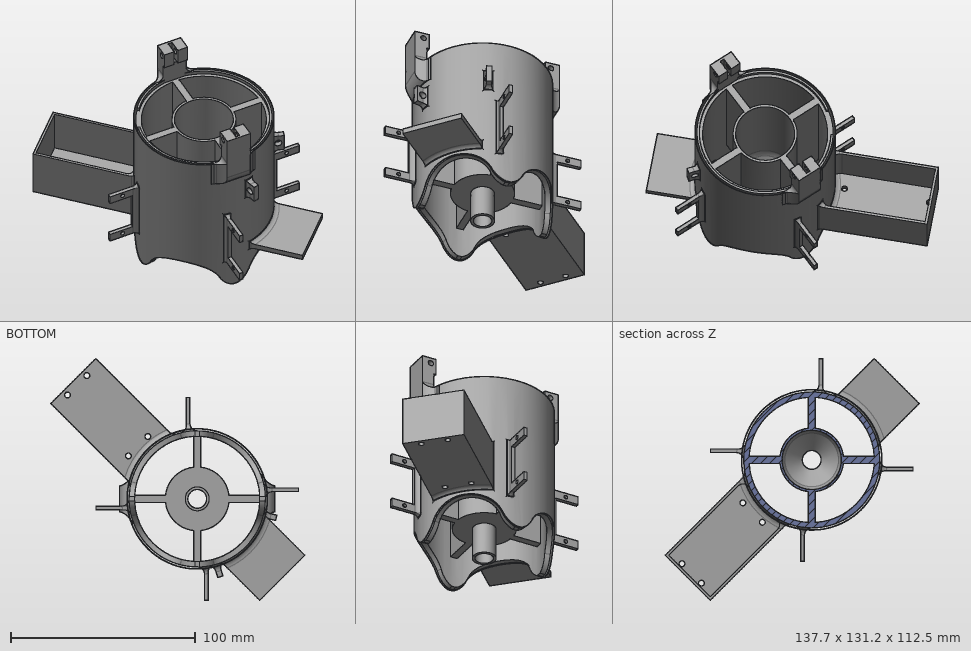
import cadquery as cq
import math

OVERALL_LENGTH = 137.7

BODY_HEIGHT = 92.3
SHEATH_RADIUS = 38.2
GAP_OUTER_RADIUS = 37.9
BODY_RADIUS = 73.8 / 2
BORE_RADIUS = 67.8 / 2
RIM_STEP_RADIUS = 35.7
RIM_STEP_DEPTH = 2.0
RIM_NOTCH_ANGLE = 244.5
RIM_NOTCH_SPAN = 24.0
ROOT_FILLET = 4.0

HUB_RADIUS = 17.4
HUB_BORE_RADIUS = 32.0 / 2
FUNNEL_HOLE_RADIUS = 10.0 / 2
FUNNEL_FILLET = 5.0
HUB_FLOOR = 2.0
SPOUT_DIAMETER = 13.0
SPOKE_WIDTH = 4.0

ARCH_HEIGHT = 18.5
LEG_SHOULDER_HEIGHT = 8.3
LEG_SHOULDER_ANGLE = 14.5
TIP_BEND_HEIGHT = 1.9
TIP_ANGLE = 2.0

BRACKET_REACH = 55.0
BRACKET_BOTTOM = 19.1
BRACKET_HEIGHT = 33.0
BRACKET_ARM_HEIGHT = 5.0
BRACKET_WEB_RADIUS = 41.2
BRACKET_THICKNESS = 2.0
BRACKET_OFFSET = 5.0
BRACKET_HOLE = 2.2
BRACKET_HOLE_RADIUS = 47.2

DIAGONAL = 45.0
ARM_WIDTH = 34.6
ARM_OFFSET = 2.3
ARM_BOTTOM = 21.8
ARM_FLOOR = 3.2
TRAY_HEIGHT = 28.2
TRAY_WALL = 1.4
TRAY_REACH = 92.7
PLATE_REACH = OVERALL_LENGTH * math.sqrt(2) - TRAY_REACH - 2 * (ARM_WIDTH / 2 + ARM_OFFSET)
TRAY_HOLE = 3.0
TRAY_HOLE_REACHES = (42.8, 89.5)
TRAY_HOLE_SIDES = (-9.9, 5.0)

TAB_ANGLES = (13.5, 73.5)
TAB_REACH = 44.1
TAB_THICKNESS = 3.0
TAB_BOTTOM = 61.8
TAB_HEIGHT = 10.3
TAB_HOLE = 4.0
TAB_HOLE_RADIUS = 40.6

LUG_OUTER = 42.1
LUG_INNER = 35.1
LUG_HEAD_INNER = 33.7
LUG_WIDTH = 14.0
LUG_TOP = 112.5
LUG_BOTTOM = 77.3
LUG_HEAD_HEIGHT = 9.5
LUG_CORNER = 8.1
LUG_SLOT_WIDTH = 2.3
LUG_SLOT_END = 40.8
LUG_HOLE = 3.2
LUG_HOLE_X = 37.0
LUG_HOLE_DROP = 3.3
LUG_FILLET = 3.7
GUSSET_WIDTH = 26.5
GUSSET_END_X = 35.4

TOLERANCE = 0.01
ROOT_RADIUS = (BODY_RADIUS + BORE_RADIUS) / 2


def tube(outer, inner, height):
    return cq.Workplane("XY").circle(outer).circle(inner).extrude(height)


def block(x0, x1, y0, y1, z0, z1):
    return cq.Workplane("XY").box(x1 - x0, y1 - y0, z1 - z0, centered=False).translate((x0, y0, z0))


def turned(part, angle):
    return part.rotate((0, 0, 0), (0, 0, 1), angle)


def cross_hole(diameter, x, z, width):
    """Pin along Y, long enough to pierce a feature lying within +-width of the XZ plane."""
    return cq.Workplane("XZ").center(x, z).circle(diameter / 2).extrude(width, both=True)


def cylinder(radius):
    return cq.Workplane("XY").circle(radius).extrude(BODY_HEIGHT)


def edges_on(part, radius):
    """Edges that run on a cylinder about Z, apart from its seam and the rims of the main tube."""
    found = []
    for edge in part.edges().vals():
        points = [edge.positionAt(t) for t in (0, 0.3, 0.7, 1)]
        on_cylinder = all(abs(math.hypot(p.x, p.y) - radius) < TOLERANCE for p in points)
        probe = points[1]
        on_seam = edge.Length() > BODY_HEIGHT - TOLERANCE and edge.geomType() == "LINE"
        on_rim = min(abs(probe.z), abs(probe.z - BODY_HEIGHT)) < TOLERANCE
        if on_cylinder and not on_seam and not on_rim:
            found.append(edge)
    return found


def bracket():
    y0 = -BRACKET_OFFSET - BRACKET_THICKNESS / 2
    top = BRACKET_BOTTOM + BRACKET_HEIGHT
    part = block(ROOT_RADIUS, BRACKET_REACH, y0, y0 + BRACKET_THICKNESS, BRACKET_BOTTOM, top)
    opening = block(
        BRACKET_WEB_RADIUS, BRACKET_REACH, y0, y0 + BRACKET_THICKNESS,
        BRACKET_BOTTOM + BRACKET_ARM_HEIGHT, top - BRACKET_ARM_HEIGHT,
    )
    part = part.cut(opening)
    for z in (BRACKET_BOTTOM + BRACKET_ARM_HEIGHT / 2, top - BRACKET_ARM_HEIGHT / 2):
        part = part.cut(cross_hole(BRACKET_HOLE, BRACKET_HOLE_RADIUS, z, 2 * BRACKET_OFFSET))
    return part


def arm(reach, height):
    y0 = -ARM_OFFSET - ARM_WIDTH / 2
    return block(0, reach, y0, y0 + ARM_WIDTH, ARM_BOTTOM, ARM_BOTTOM + height).cut(cylinder(ROOT_RADIUS))


def tray_pocket():
    """Open space inside the tray, rounded where it meets the main tube."""
    side = ARM_WIDTH / 2 - TRAY_WALL
    floor = ARM_BOTTOM + ARM_FLOOR
    space = block(
        0, TRAY_REACH - TRAY_WALL, -ARM_OFFSET - side, -ARM_OFFSET + side,
        floor, ARM_BOTTOM + TRAY_HEIGHT + 2 * ROOT_FILLET,
    ).cut(cylinder(BODY_RADIUS))
    rounded = [edge for edge in edges_on(space, BODY_RADIUS) if edge.BoundingBox().zmin < floor + 0.01]
    return space.newObject(rounded).fillet(ROOT_FILLET)


def tray_holes():
    spots = [(x, y) for x in TRAY_HOLE_REACHES for y in TRAY_HOLE_SIDES]
    return cq.Workplane("XY").pushPoints(spots).circle(TRAY_HOLE / 2).extrude(BODY_HEIGHT)


def tab():
    half = TAB_THICKNESS / 2
    part = block(ROOT_RADIUS, TAB_REACH, -half, half, TAB_BOTTOM, TAB_BOTTOM + TAB_HEIGHT)
    hole = cross_hole(TAB_HOLE, TAB_HOLE_RADIUS, TAB_BOTTOM + TAB_HEIGHT / 2, 2 * TAB_THICKNESS)
    return part, hole


def lug():
    half = LUG_WIDTH / 2
    flare = GUSSET_WIDTH / 2
    post = block(LUG_INNER, LUG_OUTER, -half, half, LUG_BOTTOM, LUG_TOP)
    head = block(LUG_HEAD_INNER, LUG_OUTER, -half, half, LUG_TOP - LUG_HEAD_HEIGHT, LUG_TOP)
    slot = block(
        0, LUG_SLOT_END, -LUG_SLOT_WIDTH / 2, LUG_SLOT_WIDTH / 2, LUG_TOP - LUG_HEAD_HEIGHT, LUG_TOP
    )
    hole = cross_hole(LUG_HOLE, LUG_HOLE_X, LUG_TOP - LUG_HOLE_DROP, LUG_WIDTH)

    bow_x = GUSSET_END_X + 0.5 * (LUG_OUTER - GUSSET_END_X)
    bow_y = half + 0.25 * (flare - half)
    gusset = (
        cq.Workplane("XY").workplane(offset=LUG_BOTTOM)
        .moveTo(LUG_INNER, -flare).lineTo(GUSSET_END_X, -flare)
        .threePointArc((bow_x, -bow_y), (LUG_OUTER, -half))
        .lineTo(LUG_OUTER, half)
        .threePointArc((bow_x, bow_y), (GUSSET_END_X, flare))
        .lineTo(LUG_INNER, flare).close()
        .extrude(LUG_TOP - LUG_BOTTOM)
    )
    crown = (
        cq.Workplane("YZ")
        .moveTo(-flare, LUG_BOTTOM).lineTo(-flare, BODY_HEIGHT).lineTo(-half - LUG_FILLET, BODY_HEIGHT)
        .radiusArc((-half, BODY_HEIGHT + LUG_FILLET), -LUG_FILLET)
        .lineTo(half, BODY_HEIGHT + LUG_FILLET)
        .radiusArc((half + LUG_FILLET, BODY_HEIGHT), -LUG_FILLET)
        .lineTo(flare, BODY_HEIGHT).lineTo(flare, LUG_BOTTOM).close()
        .extrude(LUG_OUTER)
    )
    side_profile = (
        cq.Workplane("XZ")
        .moveTo(0, LUG_BOTTOM).lineTo(LUG_OUTER - LUG_CORNER, LUG_BOTTOM)
        .radiusArc((LUG_OUTER, LUG_BOTTOM + LUG_CORNER), -LUG_CORNER)
        .lineTo(LUG_OUTER, LUG_TOP).lineTo(0, LUG_TOP).close()
        .extrude(flare, both=True)
    )
    body = post.union(gusset.intersect(crown)).intersect(side_profile)
    return body.union(head).cut(slot).cut(hole)


def arch():
    """Cutter narrowing towards the Z axis, so the leg edges stay radial."""
    def section(distance):
        def across(angle):
            return distance * math.tan(math.radians(45 - angle))
        low = -LEG_SHOULDER_HEIGHT
        shoulder = across(LEG_SHOULDER_ANGLE)
        tip = across(TIP_ANGLE)
        tip_mid = ((shoulder + tip) / 2, TIP_BEND_HEIGHT)
        return (
            cq.Workplane("YZ").workplane(offset=distance)
            .moveTo(-tip, low).lineTo(-tip, 0)
            .threePointArc((-tip_mid[0], tip_mid[1]), (-shoulder, LEG_SHOULDER_HEIGHT))
            .threePointArc((0, ARCH_HEIGHT), (shoulder, LEG_SHOULDER_HEIGHT))
            .threePointArc(tip_mid, (tip, 0))
            .lineTo(tip, low).close().val()
        )
    wires = [section(0.6 * BORE_RADIUS), section(1.3 * SHEATH_RADIUS)]
    return cq.Workplane(cq.Solid.makeLoft(wires, True))


def blended(attached):
    """Solid main tube with the attachments on it and their roots filleted."""
    part = turned(cylinder(BODY_RADIUS), -DIAGONAL).union(attached)
    return part.newObject(edges_on(part, BODY_RADIUS)).fillet(ROOT_FILLET)


tab_part, tab_hole = tab()
arms = turned(arm(TRAY_REACH, TRAY_HEIGHT), 180 + DIAGONAL)
arms = arms.union(turned(arm(PLATE_REACH, ARM_FLOOR), DIAGONAL))
brackets = bracket()
for quarter in range(1, 4):
    brackets = brackets.union(turned(bracket(), 90 * quarter))
tabs = turned(tab_part, TAB_ANGLES[0]).union(turned(tab_part, TAB_ANGLES[1]))
lugs = lug().union(turned(lug(), 180))

shell = blended(arms).union(blended(brackets)).union(blended(tabs))
shell = shell.cut(turned(tray_pocket(), 180 + DIAGONAL))
shell = shell.cut(turned(tray_holes(), 180 + DIAGONAL))
for angle in TAB_ANGLES:
    shell = shell.cut(turned(tab_hole, angle).cut(cylinder(BODY_RADIUS)))
shell = shell.union(tube(SHEATH_RADIUS, GAP_OUTER_RADIUS, BODY_HEIGHT))

rim_step = (
    cq.Workplane("XY").workplane(offset=BODY_HEIGHT - RIM_STEP_DEPTH).circle(RIM_STEP_RADIUS)
    .extrude(RIM_STEP_DEPTH)
)
shell = shell.cut(cylinder(BORE_RADIUS)).cut(rim_step)

notch_half = BODY_RADIUS * math.tan(math.radians(RIM_NOTCH_SPAN / 2))
notch = (
    cq.Workplane("XY").workplane(offset=BODY_HEIGHT - RIM_STEP_DEPTH)
    .moveTo(0, 0).lineTo(BODY_RADIUS, -notch_half).lineTo(BODY_RADIUS, notch_half).close()
    .extrude(RIM_STEP_DEPTH)
    .intersect(cylinder(BODY_RADIUS))
)
shell = shell.cut(turned(notch, RIM_NOTCH_ANGLE))

for quarter in range(4):
    shell = shell.cut(turned(arch(), DIAGONAL + 90 * quarter))

hub_top = BODY_HEIGHT - RIM_STEP_DEPTH
hub_height = hub_top - ARCH_HEIGHT
hub_blank = cq.Workplane("XY").circle(HUB_RADIUS).extrude(hub_height)
for size in ((2 * ROOT_RADIUS, SPOKE_WIDTH), (SPOKE_WIDTH, 2 * ROOT_RADIUS)):
    hub_blank = hub_blank.union(cq.Workplane("XY").rect(*size).extrude(hub_height))
cone_top = HUB_FLOOR + HUB_BORE_RADIUS - FUNNEL_HOLE_RADIUS
funnel = (
    cq.Workplane("XZ")
    .moveTo(0, 0).lineTo(FUNNEL_HOLE_RADIUS, 0).lineTo(FUNNEL_HOLE_RADIUS, HUB_FLOOR)
    .lineTo(HUB_BORE_RADIUS, cone_top).lineTo(HUB_BORE_RADIUS, hub_height).lineTo(0, hub_height).close()
    .revolve(360, (0, 0, 0), (0, 1, 0))
)
cone_rim = cq.selectors.BoxSelector(
    (-HUB_RADIUS, -HUB_RADIUS, cone_top - TOLERANCE), (HUB_RADIUS, HUB_RADIUS, cone_top + TOLERANCE),
    boundingbox=True,
)
funnel = funnel.edges(cone_rim).fillet(FUNNEL_FILLET)
spout = tube(SPOUT_DIAMETER / 2, FUNNEL_HOLE_RADIUS, ARCH_HEIGHT)
hub = hub_blank.cut(funnel).translate((0, 0, ARCH_HEIGHT))

result = shell.union(lugs).union(hub).union(spout)